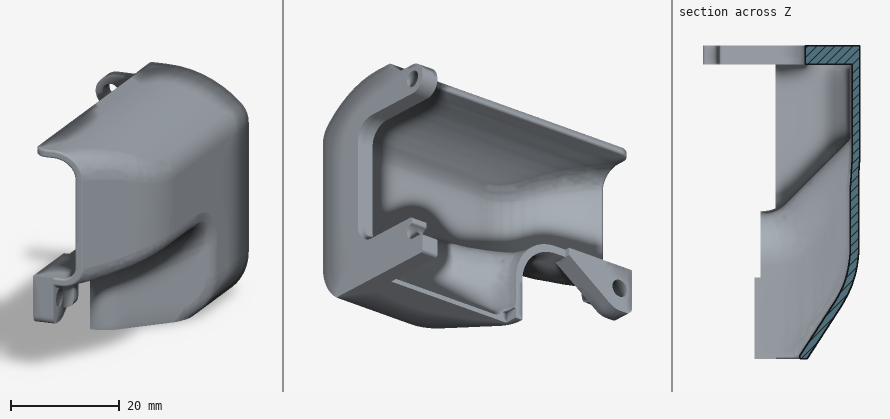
import cadquery as cq
import math

LENGTH = 57.65
HEIGHT = 42.0
WIDTH = 28.95
WALL = 1.5
FLOOR = 0.9
SCOOP_WALL = 1.55
RIM_X = 9.5
OVERRUN = 3.0
MARGIN = 1.0

TOP_FLAT_END_X = 12.95
TOP_ARC_RADIUS = 21.0
SHOULDER_RADIUS = 5.0
BOTTOM_ARC_RADIUS = 9.5
BOTTOM_ARC_Z = 7.7
STEP_TOP_Z = 19.2
STEP_BOTTOM_Z = 14.0
LOWER_STEP = 0.2
FLOOR_CORNER_RADIUS = 3.0
TAPER_ANGLE = math.radians(33)
TAPER_BEND_RADIUS = 20.0
TAPER_FRONT_X = 19.2

SCOOP_EDGE_X = 10.6
SCOOP_FRONT_Y = 25.25
SCOOP_CEILING_Z = 16.0
SCOOP_FILLET = 8.0
SCOOP_BEND_START_X = 11.1
SCOOP_BEND_RADIUS = 6.0
SCOOP_WALL_ANGLE = math.radians(45)
CEILING_RISE_START_X = 15.3
CEILING_RISE_RADIUS = 25.0
MOUTH_RADIUS = 3.8
MOUTH_CORNER_Y = 40.5
FLOOR_EDGE_X = 13.4

PLATE = 3.5
EAR_RADIUS = 2.95
EAR_Z = 36.4
EAR_HOLE = 3.2
EAR_STEP_X = 6.5
WINDOW_X = 18.8
WINDOW_RADIUS = 4.0
ARM_TOP_Z = 8.3
HOOK_Z = 5.4
HOOK_TIP_X = 3.1
HOOK_TIP_RADIUS = 0.4
ARM_CORNER_RADIUS = 0.6

LUG_THICKNESS = 4.0
LUG_BOTTOM_Z = 8.35
LUG_HOLE = 3.4
LUG_HOLE_Y = 3.0
LUG_HOLE_Z = 12.9
LUG_ROOT_Y = 15.0
LUG_TOP_Z = SCOOP_CEILING_Z + WALL
LUG_FLAT_Y = 4.2
LUG_CORNER_RADIUS = 1.5
LUG_HEEL_RADIUS = 4.0
RIB_LENGTH = 2.1
RIB_FRONT_Y = 4.8
RIB_THICKNESS = 2.2
RIB_BOTTOM_Z = 10.5
RIB_CORNER_RADIUS = 1.8

RIM_CORNER_RADIUS = 2.5
RIM_EDGE_RADIUS = 0.4


def box(x0, x1, y0, y1, z0, z1):
    """Axis-aligned block between two corner positions."""
    return cq.Workplane("XY").box(x1 - x0, y1 - y0, z1 - z0, centered=False).translate((x0, y0, z0))


def extrude_y(sketch, y0, y1):
    """Extrude a closed XZ sketch from y0 to y1."""
    return sketch.extrude(-(y1 - y0)).translate((0, y0, 0))


def cover_body(inset, step, floor, left_x, front_y, back_y):
    """Solid cover shape, shrunk by inset on the top and side and by a further step on the lower side."""
    top_radius = TOP_ARC_RADIUS - inset
    top_center_z = HEIGHT - TOP_ARC_RADIUS
    side_x = WIDTH - inset
    bottom_radius = BOTTOM_ARC_RADIUS - inset - step
    bottom_center_x = WIDTH - BOTTOM_ARC_RADIUS

    def on_top(angle):
        return (TOP_FLAT_END_X + top_radius * math.sin(angle), top_center_z + top_radius * math.cos(angle))

    def on_bottom(angle):
        return (
            bottom_center_x + bottom_radius * math.cos(angle),
            BOTTOM_ARC_Z - bottom_radius * math.sin(angle),
        )

    top_end = math.asin((side_x - TOP_FLAT_END_X) / top_radius)
    bottom_end = math.asin((BOTTOM_ARC_Z - floor) / bottom_radius)
    profile = (
        cq.Workplane("XZ")
        .moveTo(left_x, floor)
        .lineTo(left_x, HEIGHT - inset)
        .lineTo(TOP_FLAT_END_X, HEIGHT - inset)
        .threePointArc(on_top(top_end / 2), on_top(top_end))
        .lineTo(side_x, STEP_TOP_Z)
        .lineTo(side_x - step, STEP_BOTTOM_Z)
        .lineTo(side_x - step, BOTTOM_ARC_Z)
        .threePointArc(on_bottom(bottom_end / 2), on_bottom(bottom_end))
        .close()
    )
    body = extrude_y(profile, front_y, back_y)

    bend_radius = TAPER_BEND_RADIUS - inset
    bend_center_x = WIDTH - TAPER_BEND_RADIUS
    bend_drop = TAPER_BEND_RADIUS * (1 - math.cos(TAPER_ANGLE))
    bend_end_y = (WIDTH - bend_drop - TAPER_FRONT_X) / math.tan(TAPER_ANGLE)
    bend_y = bend_end_y + TAPER_BEND_RADIUS * math.sin(TAPER_ANGLE)

    def on_bend(angle):
        return (bend_center_x + bend_radius * math.cos(angle), bend_y - bend_radius * math.sin(angle))

    bend_end = on_bend(TAPER_ANGLE)
    front_x = bend_end[0] - (bend_end[1] - front_y) * math.tan(TAPER_ANGLE)
    plan = (
        cq.Workplane("XY")
        .moveTo(left_x, front_y)
        .lineTo(front_x, front_y)
        .lineTo(*bend_end)
        .threePointArc(on_bend(TAPER_ANGLE / 2), on_bend(0))
        .lineTo(side_x, back_y)
        .lineTo(left_x, back_y)
        .close()
        .extrude(HEIGHT)
    )
    body = body.intersect(plan)
    shoulder = cq.selectors.BoxSelector(
        (front_x - MARGIN, front_y + MARGIN, top_center_z + TOP_ARC_RADIUS / 2),
        (WIDTH, back_y - MARGIN, HEIGHT),
    )
    body = body.edges(shoulder).fillet(SHOULDER_RADIUS - inset)
    if floor > 0:
        floor_corner = cq.selectors.NearestToPointSelector((on_bottom(bottom_end)[0], back_y / 2, floor))
        body = body.edges(floor_corner).fillet(FLOOR_CORNER_RADIUS)
    return body


def scoop(growth, wall_shift):
    """Space below the front half, with its ceiling raised by growth and its wall moved back by wall_shift."""
    far_x = WIDTH + OVERRUN
    near_x = -OVERRUN
    ceiling_z = SCOOP_CEILING_Z + growth
    ceiling_radius = CEILING_RISE_RADIUS - growth
    ceiling_center_z = SCOOP_CEILING_Z + CEILING_RISE_RADIUS
    rise_end = math.asin((far_x - CEILING_RISE_START_X) / ceiling_radius)

    def on_ceiling(angle):
        return (
            CEILING_RISE_START_X + ceiling_radius * math.sin(angle),
            ceiling_center_z - ceiling_radius * math.cos(angle),
        )

    ceiling = extrude_y(
        cq.Workplane("XZ")
        .moveTo(near_x, -OVERRUN)
        .lineTo(near_x, ceiling_z)
        .lineTo(CEILING_RISE_START_X, ceiling_z)
        .threePointArc(on_ceiling(rise_end / 2), on_ceiling(rise_end))
        .lineTo(far_x, -OVERRUN)
        .close(),
        -2 * OVERRUN,
        LENGTH,
    )
    center_y = SCOOP_FRONT_Y + SCOOP_BEND_RADIUS + wall_shift

    def on_bend(angle):
        return (
            SCOOP_BEND_START_X + SCOOP_BEND_RADIUS * math.sin(angle),
            center_y - SCOOP_BEND_RADIUS * math.cos(angle),
        )

    bend_end = on_bend(SCOOP_WALL_ANGLE)
    far_y = bend_end[1] + (far_x - bend_end[0]) * math.tan(SCOOP_WALL_ANGLE)
    plan = (
        cq.Workplane("XY")
        .workplane(offset=-OVERRUN)
        .moveTo(near_x, -2 * OVERRUN)
        .lineTo(near_x, SCOOP_FRONT_Y + wall_shift)
        .lineTo(*on_bend(0))
        .threePointArc(on_bend(SCOOP_WALL_ANGLE / 2), bend_end)
        .lineTo(far_x, far_y)
        .lineTo(far_x, -2 * OVERRUN)
        .close()
        .extrude(HEIGHT)
    )
    space = ceiling.intersect(plan)
    arch = cq.selectors.BoxSelector(
        (near_x, SCOOP_FRONT_Y - MARGIN, ceiling_z - MARGIN), (far_x - MARGIN, LENGTH, HEIGHT)
    )
    return space.edges(arch).fillet(SCOOP_FILLET + growth)


def scooped_body(inset, step, wall_shift, floor, left_x, back_y):
    """Cover shape with the scoop removed and the whole edge where the scoop meets the side rounded."""
    body = cover_body(inset, step, floor, left_x, -OVERRUN, back_y).cut(scoop(inset, wall_shift))
    wall_meets_scoop = (WIDTH - inset - step, MOUTH_CORNER_Y, (BOTTOM_ARC_Z + STEP_BOTTOM_Z) / 2)
    mouth = cq.selectors.NearestToPointSelector(wall_meets_scoop)
    return body.edges(mouth).fillet(MOUTH_RADIUS - inset)


def cover_shell():
    """Thin cover, open at the front and on the left, with a closed back end."""
    outer = scooped_body(0, 0, 0, 0, RIM_X, LENGTH)
    inner = scooped_body(WALL, LOWER_STEP, SCOOP_WALL, FLOOR, -OVERRUN, LENGTH - PLATE)
    shell = outer.cut(inner)
    shell = shell.cut(box(-OVERRUN, WIDTH, -2 * OVERRUN, 0, -MARGIN, HEIGHT + MARGIN))
    inner_end_y = LENGTH - PLATE
    shell = shell.cut(box(0, SCOOP_EDGE_X, LUG_ROOT_Y, inner_end_y, -MARGIN, LUG_TOP_Z + MARGIN))
    shell = shell.cut(box(0, FLOOR_EDGE_X, SCOOP_FRONT_Y + SCOOP_WALL, inner_end_y, -MARGIN, FLOOR + MARGIN))
    rim_low = RIM_X - MARGIN
    rim_high = RIM_X + MARGIN
    top_low = HEIGHT - WALL - MARGIN
    top_high = HEIGHT + MARGIN
    top_corner = cq.selectors.BoxSelector((rim_low, -MARGIN, top_low), (rim_high, MARGIN, top_high))
    shell = shell.edges(top_corner).edges("|Z").fillet(RIM_CORNER_RADIUS)
    top_rim = cq.selectors.BoxSelector((rim_low, 0, top_low), (rim_high, LENGTH, top_high))
    rim = shell.faces("<Y").edges().add(shell.edges(top_rim).edges("|Y"))
    return rim.fillet(RIM_EDGE_RADIUS)


def end_plate():
    """Closed back end with the hinge ear above and the hooked arm below."""
    front_y = LENGTH - PLATE
    cover_end = cover_body(0, 0, 0, RIM_X, -OVERRUN, LENGTH)
    plate = cover_end.intersect(box(0, WIDTH, front_y, LENGTH, 0, HEIGHT))
    ear_top = EAR_Z + EAR_RADIUS
    ear_bottom = EAR_Z - EAR_RADIUS
    ear = extrude_y(
        cq.Workplane("XZ")
        .moveTo(EAR_RADIUS, ear_bottom)
        .threePointArc((0, EAR_Z), (EAR_RADIUS, ear_top))
        .lineTo(EAR_STEP_X, ear_top)
        .lineTo(RIM_X, HEIGHT)
        .lineTo(WINDOW_X, HEIGHT - WALL)
        .lineTo(WINDOW_X, ear_bottom)
        .close(),
        front_y,
        LENGTH,
    )
    arm = box(0, WINDOW_X, front_y, LENGTH, 0, ARM_TOP_Z)
    notch_radius = EAR_HOLE / 2
    arm = arm.cut(box(-MARGIN, HOOK_TIP_X, front_y, LENGTH, HOOK_Z - notch_radius, ARM_TOP_Z + MARGIN))
    arm = arm.edges("|Y and <X").fillet(ARM_CORNER_RADIUS)
    mid_y = front_y + PLATE / 2
    notch = extrude_y(cq.Workplane("XZ").center(EAR_RADIUS, HOOK_Z).circle(notch_radius), front_y, LENGTH)
    arm = arm.cut(notch)
    for tip_z in (ARM_TOP_Z, HOOK_Z + notch_radius):
        tip_edge = cq.selectors.NearestToPointSelector((HOOK_TIP_X, mid_y, tip_z))
        arm = arm.edges("|Y").edges(tip_edge).fillet(HOOK_TIP_RADIUS)
    hole = extrude_y(cq.Workplane("XZ").center(EAR_RADIUS, EAR_Z).circle(EAR_HOLE / 2), front_y, LENGTH)
    return plate.union(ear).union(arm).cut(hole)


def end_window():
    """Round-cornered opening through the closed end, between the ear and the arm."""
    window = box(-MARGIN, WINDOW_X, LENGTH - PLATE, LENGTH, ARM_TOP_Z, EAR_Z - EAR_RADIUS)
    return window.edges("|Y and >X").fillet(WINDOW_RADIUS)


def lug():
    """Flat lug hanging under the front corner, stiffened by a short rib on its inner face."""
    plate = (
        cq.Workplane("YZ")
        .moveTo(0, LUG_TOP_Z)
        .lineTo(LUG_ROOT_Y, LUG_TOP_Z)
        .lineTo(LUG_ROOT_Y, SCOOP_CEILING_Z)
        .lineTo(LUG_FLAT_Y, LUG_BOTTOM_Z)
        .lineTo(0, LUG_BOTTOM_Z)
        .close()
        .extrude(LUG_THICKNESS)
    )
    plate = plate.edges("|X and <Z and <Y").fillet(LUG_CORNER_RADIUS)
    heel = cq.selectors.NearestToPointSelector((LUG_THICKNESS / 2, LUG_FLAT_Y, LUG_BOTTOM_Z))
    plate = plate.edges(heel).fillet(LUG_HEEL_RADIUS)
    rib = box(
        LUG_THICKNESS,
        LUG_THICKNESS + RIB_LENGTH,
        RIB_FRONT_Y,
        RIB_FRONT_Y + RIB_THICKNESS,
        RIB_BOTTOM_Z,
        LUG_TOP_Z - WALL / 2,
    )
    rib = rib.edges("|Y and >X and <Z").fillet(RIB_CORNER_RADIUS)
    hole = cq.Workplane("YZ").center(LUG_HOLE_Y, LUG_HOLE_Z).circle(LUG_HOLE / 2).extrude(LUG_THICKNESS)
    return plate.cut(hole).union(rib).translate((RIM_X, 0, 0))


result = cover_shell().union(end_plate()).cut(end_window()).union(lug())